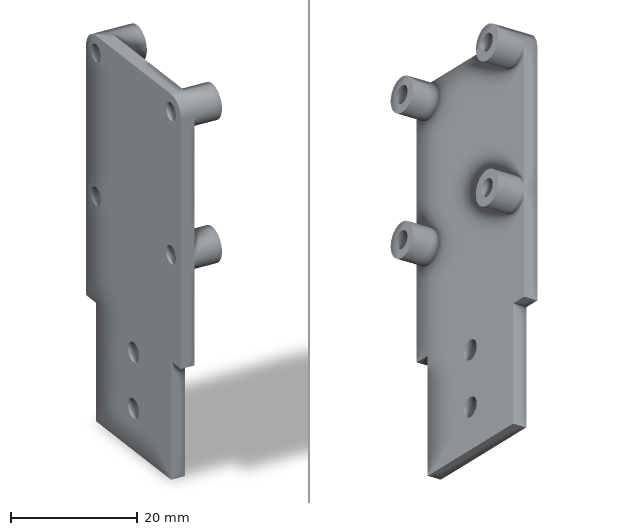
import cadquery as cq

height = 68.5
width = 30.0
plate_thickness = 2.5
total_depth = 7.5

tab_width = 23.85
tab_height = 21.0

standoff_diameter = 6.2
standoff_hole_diameter = 3.15
row_spacing = 25.4

tab_hole_diameter = 3.5
tab_hole_heights = (7.45, 17.45)

standoff_radius = standoff_diameter / 2
standoff_x = width / 2 - standoff_radius
upper_row = height - standoff_radius
lower_row = upper_row - row_spacing
standoff_centers = [(x, z) for x in (-standoff_x, standoff_x) for z in (lower_row, upper_row)]
tab_hole_centers = [(0, z) for z in tab_hole_heights]


def cylinders(centers, diameter, depth):
    """Cylinders running from the front face (Y = 0) toward +Y."""
    return cq.Workplane("XZ").pushPoints(centers).circle(diameter / 2).extrude(-depth)


def make_plate():
    """Wide upper plate with rounded top corners, joined to the narrow tab."""
    body_height = height - tab_height
    body = (
        cq.Workplane("XY")
        .box(width, plate_thickness, body_height, centered=(True, False, False))
        .translate((0, 0, tab_height))
        .edges("|Y and >Z")
        .fillet(standoff_radius)
    )
    tab = cq.Workplane("XY").box(tab_width, plate_thickness, tab_height, centered=(True, False, False))
    return body.union(tab)


result = (
    make_plate()
    .union(cylinders(standoff_centers, standoff_diameter, total_depth))
    .cut(cylinders(standoff_centers, standoff_hole_diameter, total_depth))
    .cut(cylinders(tab_hole_centers, tab_hole_diameter, plate_thickness))
)